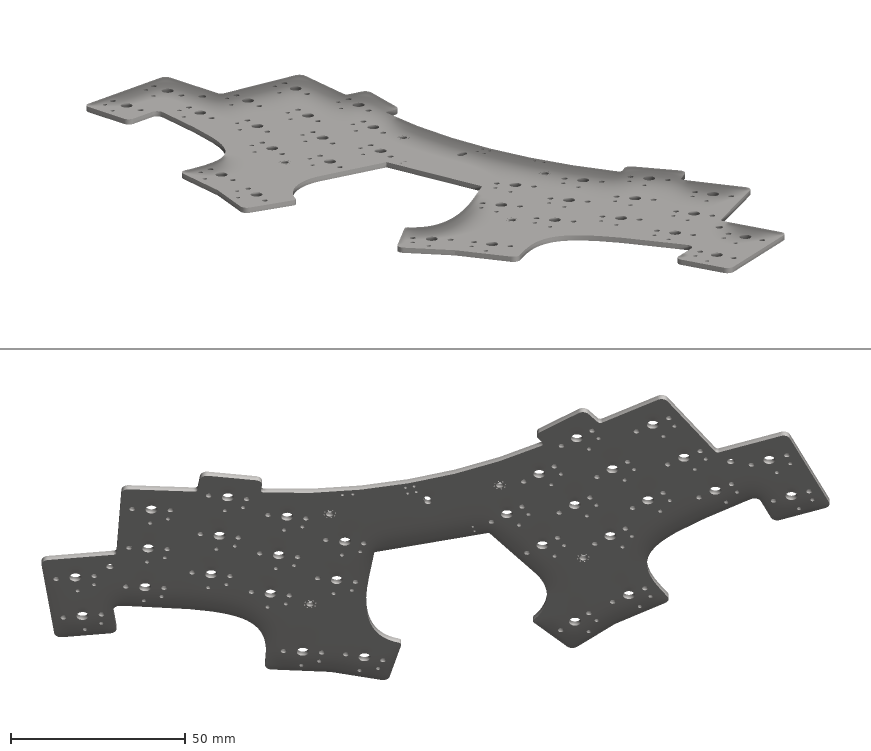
import cadquery as cq
import math

THICKNESS = 1.6

CELL_WIDTH = 18.0
KEY_PITCH = 17.0
HALF_WIDTH = CELL_WIDTH / 2
HALF_PITCH = KEY_PITCH / 2
TOLERANCE = 0.01

PINKY = (-105.16, -0.9, -7.5, 2)
RING = (-84.6, 6.8, -17.5, 3)
MIDDLE = (-64.8, 7.55, -22.5, 3)
INDEX = (-50.4, -4.9, -22.5, 3)
INNER = (-30.52, -3.9, -22.5, 2)
OUTER_THUMB = (-49.13, -31.2, -18.0, 1)
INNER_THUMB = (-31.22, -38.61, -28.0, 1)
FINGER_COLUMNS = (PINKY, RING, MIDDLE, INDEX, INNER)
RIGHT_OUTER_THUMB = (47.8, -31.85, 18.0, 1)

POST_DIAMETER = 3.43
PEG_DIAMETER = 1.7
PEG_OFFSET = 5.5
PIN_DIAMETER = 1.27
PIN_OFFSETS = ((0.0, -5.9), (-5.0, -3.8))

TOP_ARC_MIDDLE_Y = 31.95
TOP_ARC_END = (-42.2, 38.65)
NOTCH_TOP_Y = 5.2
CORNER_RADIUS = 2.0
SMALL_CORNER_RADIUS = 1.0
PINKY_NOTCH_RADIUS = 2.0
PALM_START = 5.0
PALM_START_REACH = 30.0
PALM_END = 5.0
PALM_END_REACH = 19.0
LEFT_ARCH_START = 17.2
RIGHT_ARCH_START = 6.0
RIGHT_ARCH_START_REACH = 23.5
RIGHT_ARCH_END_REACH = 5.7

MOUNT_DIAMETER = 2.2
PLAIN_MOUNT = (-92.1, 18.07)
RINGED_MOUNTS = ((-25.23, 24.6), (-40.5, -12.17))
VIA_DIAMETER = 0.4
VIA_COUNT = 8
VIA_RING_RADIUS = 1.65

HEADER_DIAMETER = 0.9
HEADER_PITCH = 2.54
HEADER_CENTRE_Y = 29.0
BATTERY_DIAMETER = 0.75
BATTERY_PITCH = 2.0
BATTERY_CENTRE = (-13.2, 7.95)
SLIDE_DIAMETER = 0.9
SLIDE_PITCH = 3.0
SLIDE_CENTRE = (18.1, 31.5)
SLIDE_ANGLE = 9.0
SLOT_CENTRE = (-3.45, 23.4)
SLOT_LENGTH = 3.4
SLOT_WIDTH = 2.0


def place(frame, u, v):
    """Board position of the point (u, v) given in a frame (x, y, turn, ...)."""
    x, y, turn = frame[:3]
    c = math.cos(math.radians(turn))
    s = math.sin(math.radians(turn))
    return (x + c * u - s * v, y + s * u + c * v)


def key_frames(column):
    """Frames of all keys in a column, from the lowest up."""
    turn, count = column[2:]
    return [place(column, 0, row * KEY_PITCH) + (turn,) for row in range(count)]


def mirrored(point):
    return (-point[0], point[1])


def mirrored_back(points):
    """The mirror images of the points, in reverse order."""
    return [mirrored(p) for p in reversed(points)]


def along(start, toward, distance):
    """Point at the given distance from start, in the direction of another point."""
    share = distance / math.dist(start, toward)
    return (start[0] + share * (toward[0] - start[0]), start[1] + share * (toward[1] - start[1]))


def crossing(a, b, c, d):
    """Point where the line through a and b meets the line through c and d."""
    abx, aby = b[0] - a[0], b[1] - a[1]
    cdx, cdy = d[0] - c[0], d[1] - c[1]
    t = ((c[0] - a[0]) * cdy - (c[1] - a[1]) * cdx) / (abx * cdy - aby * cdx)
    return (a[0] + t * abx, a[1] + t * aby)


def cell_corners(frame):
    """Top left, top right, bottom right and bottom left corner of a key cell."""
    return [
        place(frame, u, v)
        for u, v in (
            (-HALF_WIDTH, HALF_PITCH),
            (HALF_WIDTH, HALF_PITCH),
            (HALF_WIDTH, -HALF_PITCH),
            (-HALF_WIDTH, -HALF_PITCH),
        )
    ]


def round_corners(plate, corners, radius):
    """Fillet the upright edges at the given left-hand corners and at their mirror images."""
    spots = corners + [mirrored(p) for p in corners]
    edges = plate.edges("|Z").filter(
        lambda e: any(math.dist((e.Center().x, e.Center().y), p) < TOLERANCE for p in spots)
    )
    return edges.fillet(radius)


def make_plate():
    pinky_low = cell_corners(PINKY)
    pinky_top = cell_corners(key_frames(PINKY)[-1])
    ring_low = cell_corners(RING)
    ring_top = cell_corners(key_frames(RING)[-1])
    middle_top = cell_corners(key_frames(MIDDLE)[-1])
    inner = cell_corners(INNER)
    outer_thumb = cell_corners(OUTER_THUMB)
    inner_thumb = cell_corners(INNER_THUMB)

    middle_ring = crossing(middle_top[0], middle_top[3], ring_top[0], ring_top[1])
    ring_pinky = crossing(ring_top[0], ring_low[3], pinky_top[0], pinky_top[1])
    pinky_notch = crossing(pinky_low[1], pinky_low[2], ring_low[3], ring_low[2])
    thumbs = crossing(outer_thumb[3], outer_thumb[2], inner_thumb[3], inner_thumb[2])
    notch_top = crossing(inner[1], inner[2], (-1, NOTCH_TOP_Y), (1, NOTCH_TOP_Y))

    palm_start = along(ring_low[3], ring_low[2], PALM_START)
    palm_end = along(outer_thumb[3], outer_thumb[0], PALM_END)
    palm = [
        palm_end,
        along(palm_end, outer_thumb[0], PALM_END_REACH),
        along(palm_start, ring_low[2], PALM_START_REACH),
        palm_start,
    ]
    hand = [
        pinky_notch,
        pinky_low[2],
        pinky_low[3],
        pinky_top[0],
        ring_pinky,
        ring_top[0],
        middle_ring,
        middle_top[0],
        middle_top[1],
        TOP_ARC_END,
    ]
    thumb_side = [inner_thumb[2], thumbs, outer_thumb[3], palm_end]
    left_arch_start = along(inner[1], inner[2], LEFT_ARCH_START)
    right_arch_start = along(inner[1], inner[2], RIGHT_ARCH_START)
    right_arch = [
        inner_thumb[1],
        along(inner_thumb[1], inner_thumb[0], RIGHT_ARCH_END_REACH),
        along(right_arch_start, inner[2], RIGHT_ARCH_START_REACH),
        right_arch_start,
    ]

    plate = (
        cq.Workplane("XY")
        .moveTo(*notch_top)
        .lineTo(*left_arch_start)
        .tangentArcPoint(inner_thumb[1], relative=False)
        .polyline(thumb_side, includeCurrent=True)
        .bezier(palm)
        .polyline(hand, includeCurrent=True)
        .threePointArc((0, TOP_ARC_MIDDLE_Y), mirrored(TOP_ARC_END))
        .polyline(mirrored_back([palm_start] + hand[:-1]), includeCurrent=True)
        .bezier(mirrored_back(palm))
        .polyline(mirrored_back([inner_thumb[1]] + thumb_side[:-1]), includeCurrent=True)
        .bezier([mirrored(p) for p in right_arch])
        .lineTo(*mirrored(notch_top))
        .close()
        .extrude(THICKNESS)
    )

    outer_corners = [
        middle_top[1],
        middle_top[0],
        ring_top[0],
        pinky_top[0],
        pinky_low[3],
        pinky_low[2],
        outer_thumb[3],
        inner_thumb[2],
    ]
    plate = round_corners(plate, outer_corners, CORNER_RADIUS)
    small_corners = [TOP_ARC_END, middle_ring, ring_pinky, inner_thumb[1]]
    plate = round_corners(plate, small_corners, SMALL_CORNER_RADIUS)
    return round_corners(plate, [pinky_notch], PINKY_NOTCH_RADIUS)


def drill(plate, points, diameter):
    tools = cq.Workplane("XY").pushPoints(points).circle(diameter / 2).extrude(THICKNESS)
    return plate.cut(tools)


def all_key_frames():
    left = [frame for column in FINGER_COLUMNS for frame in key_frames(column)]
    left.append(INNER_THUMB[:3])
    right = [(-x, y, -turn) for x, y, turn in left]
    return left + right + [OUTER_THUMB[:3], RIGHT_OUTER_THUMB[:3]]


def drill_switches(plate):
    frames = all_key_frames()
    pegs = [place(f, side * PEG_OFFSET, 0) for f in frames for side in (-1, 1)]
    pins = [place(f, u, v) for f in frames for u, v in PIN_OFFSETS]
    plate = drill(plate, [f[:2] for f in frames], POST_DIAMETER)
    plate = drill(plate, pegs, PEG_DIAMETER)
    return drill(plate, pins, PIN_DIAMETER)


def drill_mounts(plate):
    ringed = [p for mount in RINGED_MOUNTS for p in (mount, mirrored(mount))]
    vias = [
        place((x, y, 360 / VIA_COUNT * i), VIA_RING_RADIUS, 0)
        for x, y in ringed
        for i in range(VIA_COUNT)
    ]
    plate = drill(plate, ringed + [PLAIN_MOUNT, mirrored(PLAIN_MOUNT)], MOUNT_DIAMETER)
    return drill(plate, vias, VIA_DIAMETER)


def drill_connectors(plate):
    half = HEADER_PITCH / 2
    header = [(x, HEADER_CENTRE_Y + y) for x in (-half, half) for y in (-half, half)]
    battery = [place(BATTERY_CENTRE + (0,), 0, s * BATTERY_PITCH / 2) for s in (-1, 1)]
    slide = [place(SLIDE_CENTRE + (SLIDE_ANGLE,), s * SLIDE_PITCH / 2, 0) for s in (-1, 1)]
    plate = drill(plate, header, HEADER_DIAMETER)
    plate = drill(plate, battery, BATTERY_DIAMETER)
    return drill(plate, slide, SLIDE_DIAMETER)


def cut_slot(plate):
    slot = cq.Workplane("XY").center(*SLOT_CENTRE).slot2D(SLOT_LENGTH, SLOT_WIDTH, 90).extrude(THICKNESS)
    return plate.cut(slot)


result = make_plate()
result = drill_switches(result)
result = drill_mounts(result)
result = drill_connectors(result)
result = cut_slot(result)